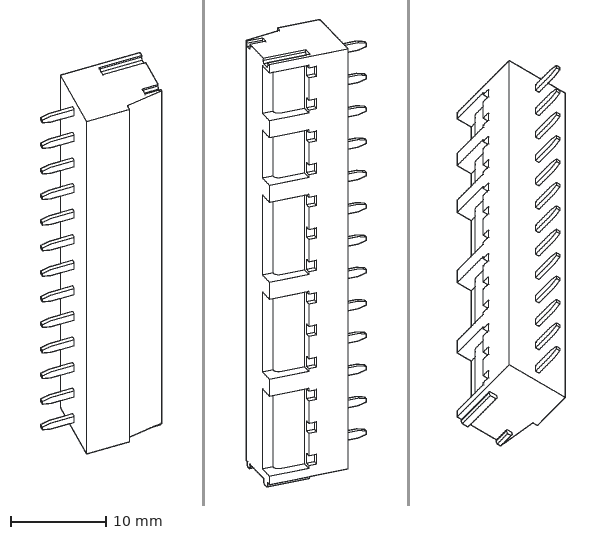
import cadquery as cq

total_length = 50.1
key_height = 0.6
body_length = total_length - key_height
body_depth = 7.4
body_width = 9.0
half_depth = body_depth / 2

taper_width = 4.15
taper_top_inset = 1.3
taper_bottom_inset = 0.6

pitch = 3.8
first_pin_z = pitch / 2
pin_length = 3.6
pin_thickness = 0.45
pin_breadth = 0.9
pin_tip_breadth = 0.4
pin_taper_length = 0.95

poles_per_recess = (3, 3, 3, 2, 2)
pole_count = sum(poles_per_recess)
recess_end_margin = 0.9
recess_width = 4.5
recess_depth = 1.15
step_width = 1.8
step_depth = 1.85
step_radius = 0.6

notch_breadth = 1.15
notch_width = 0.9
notch_depth = 0.6

large_key_x = 1.05 - half_depth
large_key_breadth = 0.95
large_key_length = 4.85
small_key_x = 5.5 - half_depth
small_key_breadth = 0.65
small_key_length = 1.8
key_bulge = 0.075
key_tip_inset = 0.1
groove_clearance = 0.15


def pole_z(index):
    """Height of the centre of a pole, counted from the bottom."""
    return first_pin_z + index * pitch


def make_body():
    """Housing block with the sloped shoulder along its +X side."""
    return (
        cq.Workplane("XY")
        .moveTo(-half_depth, 0)
        .lineTo(half_depth, 0)
        .lineTo(half_depth, body_width - taper_width)
        .lineTo(half_depth - taper_bottom_inset, body_width - taper_width)
        .lineTo(half_depth - taper_top_inset, body_width)
        .lineTo(-half_depth, body_width)
        .close()
        .extrude(body_length)
    )


def make_recess(first_pole, poles):
    """Stepped recess, open to -X and +Y, with a rounded edge on the step."""
    bottom_z = pole_z(first_pole) - recess_end_margin
    height = (poles - 1) * pitch + 2 * recess_end_margin
    floor_x = recess_depth - half_depth
    step_y = body_width - step_width + step_radius
    return (
        cq.Workplane("XY", origin=(0, 0, bottom_z))
        .moveTo(-half_depth, body_width - recess_width)
        .lineTo(floor_x, body_width - recess_width)
        .lineTo(floor_x, step_y - step_radius)
        .radiusArc((floor_x + step_radius, step_y), step_radius)
        .lineTo(step_depth - half_depth, step_y)
        .lineTo(step_depth - half_depth, body_width)
        .lineTo(-half_depth, body_width)
        .close()
        .extrude(height)
    )


def make_notch(z):
    """Shallow notch at one pole."""
    corner_y = body_width - recess_width - notch_width
    return (
        cq.Workplane("XY")
        .box(notch_depth, notch_width, notch_breadth, centered=(False, False, True))
        .translate((-half_depth, corner_y, z))
    )


def make_pin(z):
    """Flat solder pin pointing to -Y, with a tapered tip."""
    half_breadth = pin_breadth / 2
    half_tip = pin_tip_breadth / 2
    taper_y = pin_taper_length - pin_length
    return (
        cq.Workplane("YZ")
        .polyline(
            [
                (0, z - half_breadth),
                (taper_y, z - half_breadth),
                (-pin_length, z - half_tip),
                (-pin_length, z + half_tip),
                (taper_y, z + half_breadth),
                (0, z + half_breadth),
            ]
        )
        .close()
        .extrude(pin_thickness / 2, both=True)
    )


def make_key(center_x, breadth, length, base_z):
    """Bar along Y, hanging below base_z and ending at the +Y face, whose sides bulge at mid height."""
    half_base = breadth / 2
    half_tip = half_base - key_tip_inset
    half_middle = half_base + key_bulge
    middle_z = base_z - key_height / 2
    tip_z = base_z - key_height
    return (
        cq.Workplane("XZ", origin=(center_x, body_width, 0))
        .polyline(
            [
                (-half_base, base_z),
                (half_base, base_z),
                (half_middle, middle_z),
                (half_tip, tip_z),
                (-half_tip, tip_z),
                (-half_middle, middle_z),
            ]
        )
        .close()
        .extrude(length)
    )


result = make_body()

first_pole = 0
for poles in poles_per_recess:
    result = result.cut(make_recess(first_pole, poles))
    first_pole += poles

for pole in range(pole_count):
    result = result.cut(make_notch(pole_z(pole)))
    result = result.union(make_pin(pole_z(pole)))

for center_x, breadth, length in (
    (large_key_x, large_key_breadth, large_key_length),
    (small_key_x, small_key_breadth, small_key_length),
):
    result = result.union(make_key(center_x, breadth, length, 0))
    result = result.cut(make_key(center_x, breadth + groove_clearance, length, body_length))